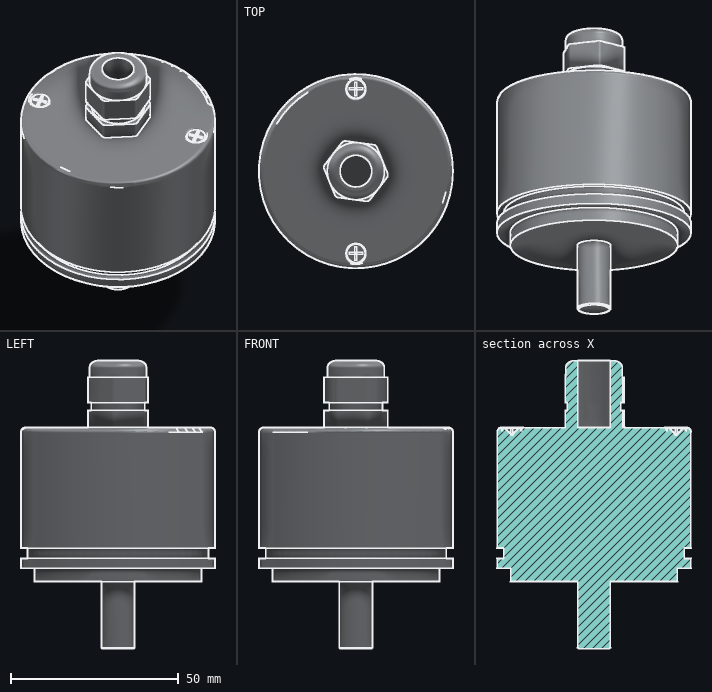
import cadquery as cq
import math

housing_diameter = 58.0
housing_edge_radius = 1.5
pilot_diameter = 50.0
groove_diameter = 54.0
shaft_diameter = 10.0
shaft_chamfer = 0.39
shaft_length = 20.0
pilot_height = 3.95
flange_height = 3.0
groove_height = 3.0
total_height = 86.0
gland_height = 19.95

pilot_top = shaft_length + pilot_height
flange_top = pilot_top + flange_height
groove_top = flange_top + groove_height
housing_top = total_height - gland_height

hex_across_flats = 17.0
hex_corner_radius = 1.3
hex_turn = -7.6
lower_hex_height = 5.1
gland_neck_diameter = 16.0
gland_neck_height = 2.3
upper_hex_height = 7.6
gland_cap_diameter = hex_across_flats
cap_round_height = 2.15
cap_crown_diameter = 14.8
cap_crown_drop = 0.4
cap_face_diameter = 11.6
cable_bore_diameter = 9.5

upper_hex_base = housing_top + lower_hex_height + gland_neck_height
cap_base = upper_hex_base + upper_hex_height

screw_offset = 24.5
screw_hole_diameter = 5.9
screw_rim_radius = 0.5
screw_head_diameter = 5.5
screw_head_drop = 0.3
screw_gap_depth = 0.7
cross_length = 4.0
cross_width = 0.6
cross_depth = cross_length / 2

screw_head_top = housing_top - screw_head_drop


def cylinder(diameter, bottom, top):
    return cq.Workplane("XY").workplane(offset=bottom).circle(diameter / 2).extrude(top - bottom)


def make_housing():
    shaft = cylinder(shaft_diameter, 0, pilot_top).faces("<Z").chamfer(shaft_chamfer)
    pilot = cylinder(pilot_diameter, shaft_length, pilot_top)
    flange = cylinder(housing_diameter, pilot_top, flange_top)
    groove = cylinder(groove_diameter, flange_top, groove_top)
    shell = cylinder(housing_diameter, groove_top, housing_top)
    shell = shell.faces(">Z").edges().fillet(housing_edge_radius)
    return shaft.union(pilot).union(flange).union(groove).union(shell)


def make_hex(bottom, height):
    across_corners = hex_across_flats / math.cos(math.radians(30))
    prism = cq.Workplane("XY").workplane(offset=bottom).polygon(6, across_corners).extrude(height)
    prism = prism.edges("|Z").fillet(hex_corner_radius)
    return prism.rotate((0, 0, 0), (0, 0, 1), hex_turn)


def make_gland_cap():
    """Turned cap: a rounded shoulder runs into a gently curved crown around a flat face."""
    cap_radius = gland_cap_diameter / 2
    crown_radius = cap_crown_diameter / 2
    face_radius = cap_face_diameter / 2
    crown_z = total_height - cap_crown_drop
    crown_run = crown_radius - face_radius
    shoulder_run = cap_radius - crown_radius
    shoulder_rise = cap_round_height - cap_crown_drop
    shoulder_arc_radius = (shoulder_run**2 + shoulder_rise**2) / (2 * shoulder_run)
    crown_arc_radius = (crown_run**2 + cap_crown_drop**2) / (2 * cap_crown_drop)
    return (
        cq.Workplane("XZ")
        .moveTo(0, cap_base)
        .lineTo(cap_radius, cap_base)
        .lineTo(cap_radius, total_height - cap_round_height)
        .radiusArc((crown_radius, crown_z), -shoulder_arc_radius)
        .radiusArc((face_radius, total_height), -crown_arc_radius)
        .lineTo(0, total_height)
        .close()
        .revolve(360, (0, 0, 0), (0, 1, 0))
    )


def make_gland():
    neck = cylinder(gland_neck_diameter, housing_top, cap_base)
    gland = neck.union(make_hex(housing_top, lower_hex_height))
    gland = gland.union(make_hex(upper_hex_base, upper_hex_height)).union(make_gland_cap())
    return gland.cut(cylinder(cable_bore_diameter, housing_top, total_height))


def make_screw_recess():
    """Material removed at one screw: rounded hole rim, gap round the head and cross slot."""
    hole_radius = screw_hole_diameter / 2
    rim_radius = hole_radius + screw_rim_radius
    head_radius = screw_head_diameter / 2
    gap_floor = screw_head_top - screw_gap_depth
    hole = (
        cq.Workplane("XZ")
        .moveTo(0, screw_head_top)
        .lineTo(head_radius, screw_head_top)
        .lineTo(head_radius, gap_floor)
        .lineTo(hole_radius, gap_floor)
        .lineTo(hole_radius, housing_top - screw_rim_radius)
        .radiusArc((rim_radius, housing_top), screw_rim_radius)
        .lineTo(0, housing_top)
        .close()
        .revolve(360, (0, 0, 0), (0, 1, 0))
    )
    slot_profile = [
        (-cross_length / 2, screw_head_top),
        (cross_length / 2, screw_head_top),
        (0, screw_head_top - cross_depth),
    ]
    for plane in ("XZ", "YZ"):
        slot = cq.Workplane(plane).polyline(slot_profile).close()
        hole = hole.union(slot.extrude(cross_width / 2, both=True))
    return hole


result = make_housing().union(make_gland())
for side in (-1, 1):
    result = result.cut(make_screw_recess().translate((0, side * screw_offset, 0)))